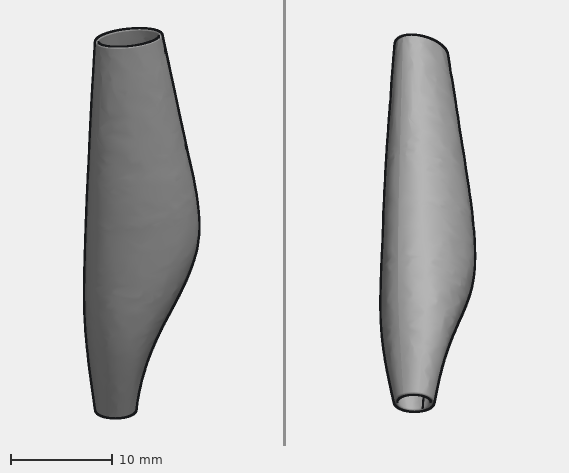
import cadquery as cq

length = 40.0
wall = 0.4
rim_fillet = 0.19

sections = [
    (1.98, -4.89, -0.76),
    (2.84, -5.36, -0.12),
    (3.55, -5.77, 1.41),
    (3.98, -5.97, 3.70),
    (4.10, -5.95, 5.57),
    (4.02, -5.84, 5.94),
    (3.81, -5.69, 5.38),
    (3.49, -5.52, 4.54),
    (3.11, -5.35, 3.71),
    (2.71, -5.16, 2.90),
    (2.27, -4.96, 2.09),
]
section_spacing = length / (len(sections) - 1)


def section_wire(height, half_width, front_y, back_y, inset):
    """Ellipse of two half arcs meeting on the YZ plane, shrunk by inset."""
    center = cq.Vector(0, (front_y + back_y) / 2, height)
    y_radius = (back_y - front_y) / 2 - inset
    x_radius = half_width - inset
    halves = [
        cq.Edge.makeEllipse(
            y_radius,
            x_radius,
            center,
            cq.Vector(0, 0, 1),
            cq.Vector(0, 1, 0),
            start,
            start + 180,
        )
        for start in (0, 180)
    ]
    return cq.Wire.assembleEdges(halves)


def lofted_body(inset):
    """Smooth solid through all sections, each shrunk by inset."""
    wires = [
        section_wire(index * section_spacing, *section, inset)
        for index, section in enumerate(sections)
    ]
    return cq.Workplane(cq.Solid.makeLoft(wires))


tube = lofted_body(0).cut(lofted_body(wall))

result = tube.faces("<Z or >Z").edges().fillet(rim_fillet)